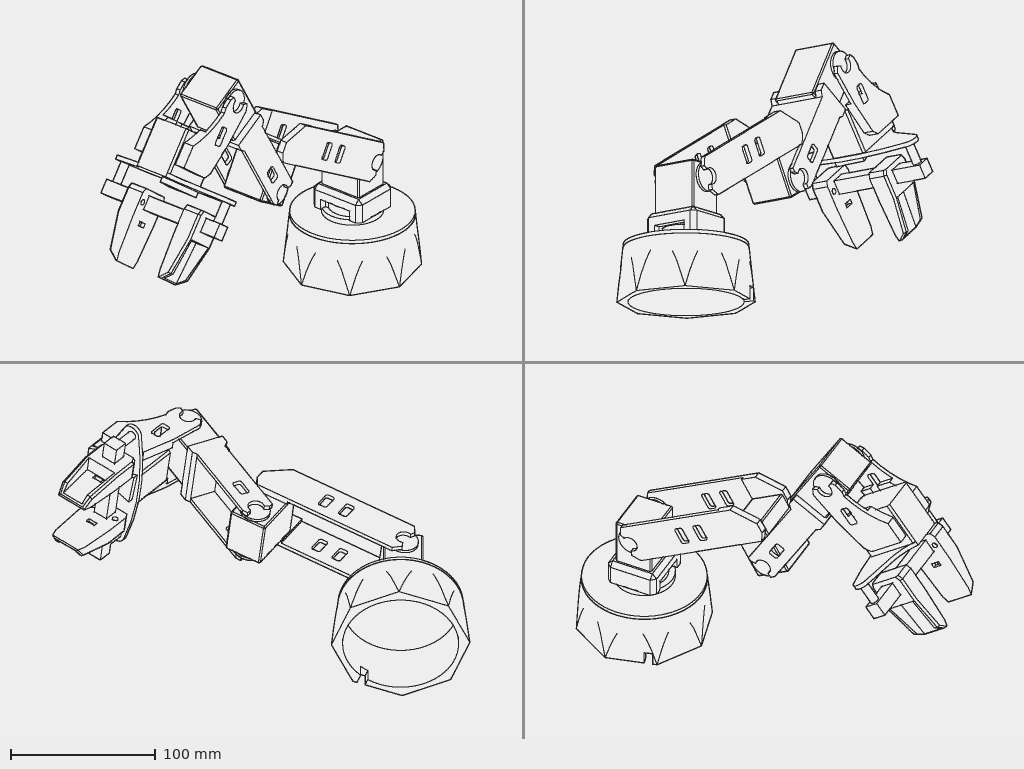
import cadquery as cq
import math


ARM_AZIMUTH = -59.8
SHOULDER_PIVOT = (0.0, 86.4)
UPPER_ARM_PITCH = 30.0
FOREARM_PITCH = 60.0
HAND_PITCH = -52.4
ELBOW_ALONG, ELBOW_DROP = 98.9, -34.5
WRIST_ALONG, WRIST_RISE = 100.2, 2.9

BASE_FLATS = 88.5
LID_DIAMETER = 87.0
LID_BOTTOM, LID_TOP = 38.5, 41.0
CONE_TOP_RADIUS = 43.7
CAVITY_DIAMETER = 80.0
CABLE_SLOT_WIDTH, CABLE_SLOT_HEIGHT = 6.0, 9.4
CABLE_SLOT_OFFSET = 12.2
CABLE_SLOT_ANGLE = 225
NECK_DIAMETER = 43.0
SPIGOT_DIAMETER, SPIGOT_TOP = 33.8, 51.2

MOTOR_LENGTH = 27.5
MOTOR_WIDTH = 33.8
MOTOR_END = 10.5
EDGE_CHAMFER = 1.0
JOINT_DISC_DIAMETER = 20.5
PLATE_INNER, PLATE_OUTER = 19.0, 22.0
NOTCH_RADIUS = 5.5
NOTCH_EDGE = -2.0
TIP_X, TIP_Z = -3.6, 8.8
SLOT_CORNER = 1.5

COLLAR_LENGTH, COLLAR_WIDTH = 37.5, 43.2
COLLAR_BOTTOM, COLLAR_TOP = 45.3, 62.5
COLLAR_CHAMFER = 3.5
WINDOW_WIDTH, WINDOW_TOP, WINDOW_DEPTH = 26.0, 52.8, 5.2

UPPER_HALF_HEIGHT = 14.3
UPPER_END = 113.5
ELBOW_MOTOR_TOP = -1.8
UPPER_SLOT_CENTRES = (46.3, 62.5)
UPPER_SLOT_LENGTH, UPPER_SLOT_HEIGHT = 6.5, 12.5

FOREARM_BOTTOM, FOREARM_TOP = -10.7, 11.7
WALL = 3.0
BACK_WALL_START = 23.5
RIM_START, RIM_END = 63.2, 72.8
RIM_BOTTOM, RIM_TOP = -12.7, 15.0
FOREARM_SLOT_CENTRE = 21.0
FOREARM_SLOT_LENGTH, FOREARM_SLOT_HEIGHT = 12.7, 6.8

HAND_PLATE_END = 55.5
HAND_PLATE_TOP = 31.7
HAND_PAD_START = 26.0
GRIP_MOTOR_START = 29.7
GRIP_MOTOR_BOTTOM, GRIP_MOTOR_TOP = -9.0, 34.5
GRIP_MOTOR_HALF_WIDTH = 14.3
GRIP_MOTOR_CHAMFER = 1.5
HAND_SLOT_X, HAND_SLOT_Z = 24.7, 4.7
HAND_SLOT_LENGTH, HAND_SLOT_HEIGHT = 13.5, 6.8

PALM_REAR, PALM_FRONT = 62.7, 65.8
HORN_FRONT = 69.7

ROD_DIAMETER = 6.2
ROD_SPREAD = 45.3
BAR_START, BAR_END = 81.0, 91.3
BAR_CENTRE_Z = 1.3
BAR_HEIGHT = 10.7
BAR_HALF_LENGTH = 50.7

FINGER_INNER_FACES = {-1: -12.5, 1: 24.5}
FINGER_THICKNESS = 14.0
FINGER_HALF_HEIGHT = 14.3
FINGER_TIP_HALF_HEIGHT = 11.2
FINGER_TAPER_START = 98.9
FINGER_TIP = 131.0
FINGER_WEB = 3.0
FINGER_FLANGE = 3.0
FINGER_CHAMFER = 1.5
FINGER_SECTIONS = (
    (77.3, 12.5, FINGER_THICKNESS),
    (BAR_START, FINGER_HALF_HEIGHT, FINGER_THICKNESS),
    (FINGER_TAPER_START, FINGER_HALF_HEIGHT, FINGER_THICKNESS),
    (125.7, 12.7, 8.8),
    (FINGER_TIP, FINGER_TIP_HALF_HEIGHT, 1.8),
)
FINGER_HOLE_DIAMETER = 4.0
FINGER_HOLE_X, FINGER_HOLE_SPREAD = 87.0, 9.5
FINGER_SLOT_X, FINGER_SLOT_LENGTH, FINGER_SLOT_HEIGHT = 101.2, 3.0, 6.8


def block(x_range, y_range, z_range):
    """Box between two limits on each axis."""
    sizes = [high - low for low, high in (x_range, y_range, z_range)]
    corner = (x_range[0], y_range[0], z_range[0])
    return cq.Workplane("XY").box(*sizes, centered=False).translate(corner)


def slab(outline, half_width):
    """Extrude an outline in the XZ plane equally to both sides."""
    return outline.extrude(half_width, both=True)


def rounded_slots(centres, length, height):
    """Slots that run across the whole arm, with rounded corners."""
    slots = cq.Workplane("XZ").pushPoints(centres).rect(length, height).extrude(2 * PLATE_OUTER, both=True)
    return slots.edges("|Y").fillet(SLOT_CORNER)


def joint_end(outline):
    """Continue an outline from its upper to its lower tip around the joint's round notch."""
    return (
        outline.lineTo(TIP_X, TIP_Z)
        .lineTo(NOTCH_EDGE, NOTCH_RADIUS)
        .threePointArc((NOTCH_RADIUS, 0), (NOTCH_EDGE, -NOTCH_RADIUS))
        .lineTo(TIP_X, -TIP_Z)
        .close()
    )


def motor_box(x_range, z_range):
    """Chamfered motor case."""
    half = MOTOR_WIDTH / 2
    return block(x_range, (-half, half), z_range).edges().chamfer(EDGE_CHAMFER)


def joint_discs(x, z):
    """Output discs on both sides of a motor, up to the inside of the next link's plates."""
    discs = cq.Workplane("XZ").center(x, z).circle(JOINT_DISC_DIAMETER / 2)
    discs = discs.extrude(PLATE_INNER, both=True)
    reach = 2 * JOINT_DISC_DIAMETER
    motor_gap = block((x - reach, x + reach), (-MOTOR_WIDTH / 2, MOTOR_WIDTH / 2), (z - reach, z + reach))
    return discs.cut(motor_gap)


def place(part, pitch, pivot):
    """Tilt a part about its joint, move the joint to (reach, height) and turn it to the azimuth."""
    tilted = part.rotate((0, 0, 0), (0, 1, 0), -pitch)
    moved = tilted.translate((pivot[0], 0, pivot[1]))
    return moved.rotate((0, 0, 0), (0, 0, 1), ARM_AZIMUTH)


def next_pivot(pivot, pitch, along, across):
    """Reach and height of a point given in the frame of a tilted part."""
    c, s = math.cos(math.radians(pitch)), math.sin(math.radians(pitch))
    return (pivot[0] + along * c - across * s, pivot[1] + along * s + across * c)


def make_base():
    """Hollow octagonal base whose corners are turned off to a cone."""
    corner_radius = BASE_FLATS / 2 / math.cos(math.pi / 8)
    octagon = (
        cq.Workplane("XY")
        .polygon(8, 2 * corner_radius)
        .extrude(LID_BOTTOM)
        .rotate((0, 0, 0), (0, 0, 1), 180 / 8)
    )
    cone = (
        cq.Workplane("XY")
        .circle(corner_radius)
        .workplane(offset=LID_BOTTOM)
        .circle(CONE_TOP_RADIUS)
        .loft()
    )
    cavity = cq.Workplane("XY").circle(CAVITY_DIAMETER / 2).extrude(LID_BOTTOM)
    half_slot = CABLE_SLOT_WIDTH / 2
    slot = block(
        (0, BASE_FLATS),
        (CABLE_SLOT_OFFSET - half_slot, CABLE_SLOT_OFFSET + half_slot),
        (0, CABLE_SLOT_HEIGHT),
    ).rotate((0, 0, 0), (0, 0, 1), CABLE_SLOT_ANGLE)
    return octagon.intersect(cone).cut(cavity).cut(slot)


def make_lid():
    """Round lid with the neck and spigot on which the turret turns."""
    lid_plane = cq.Workplane("XY").workplane(offset=LID_BOTTOM)
    disc = lid_plane.circle(LID_DIAMETER / 2).extrude(LID_TOP - LID_BOTTOM)
    neck = disc.faces(">Z").workplane().circle(NECK_DIAMETER / 2).extrude(COLLAR_BOTTOM - LID_TOP)
    return neck.faces(">Z").workplane().circle(SPIGOT_DIAMETER / 2).extrude(SPIGOT_TOP - COLLAR_BOTTOM)


def make_turret():
    """Shoulder motor on a chamfered collar that is bored for the spigot."""
    collar = (
        cq.Workplane("XY")
        .workplane(offset=COLLAR_BOTTOM)
        .rect(COLLAR_LENGTH, COLLAR_WIDTH)
        .extrude(COLLAR_TOP - COLLAR_BOTTOM)
        .edges("|Z or >Z")
        .chamfer(COLLAR_CHAMFER)
    )
    half = MOTOR_LENGTH / 2
    motor_top = SHOULDER_PIVOT[1] + MOTOR_END
    motor = motor_box((-half, half), (SPIGOT_TOP + WALL, motor_top))
    turret = collar.union(motor).union(joint_discs(*SHOULDER_PIVOT))
    bore = cq.Workplane("XY").circle(SPIGOT_DIAMETER / 2).extrude(SPIGOT_TOP)
    turret = turret.cut(bore)
    for side in (-1, 1):
        window = cq.Workplane("XY").box(2 * WINDOW_DEPTH, WINDOW_WIDTH, 2 * (WINDOW_TOP - COLLAR_BOTTOM))
        turret = turret.cut(window.translate((side * COLLAR_LENGTH / 2, 0, COLLAR_BOTTOM)))
    return turret.rotate((0, 0, 0), (0, 0, 1), ARM_AZIMUTH)


def make_upper_arm():
    """Two slotted side plates carrying the elbow motor below their far end."""
    outline = joint_end(
        cq.Workplane("XZ")
        .moveTo(1.3, -UPPER_HALF_HEIGHT)
        .lineTo(UPPER_END - 4.2, -UPPER_HALF_HEIGHT)
        .lineTo(UPPER_END, -7.8)
        .lineTo(UPPER_END, 0)
        .lineTo(UPPER_END - 15.9, UPPER_HALF_HEIGHT)
        .lineTo(0, UPPER_HALF_HEIGHT)
    )
    solid_arm = slab(outline, PLATE_OUTER)
    motor_start = ELBOW_ALONG - MOTOR_LENGTH / 2
    motor_stop = ELBOW_ALONG + MOTOR_LENGTH / 2
    tall = (-2 * UPPER_HALF_HEIGHT, 2 * UPPER_HALF_HEIGHT)
    plate_gap = block((-UPPER_END, motor_start), (-PLATE_INNER, PLATE_INNER), tall)
    motor_gap = block((-UPPER_END, 2 * UPPER_END), (-MOTOR_WIDTH / 2, MOTOR_WIDTH / 2), tall)
    plates = solid_arm.cut(plate_gap).cut(motor_gap)
    slot_centres = [(x, 0) for x in UPPER_SLOT_CENTRES]
    plates = plates.cut(rounded_slots(slot_centres, UPPER_SLOT_LENGTH, UPPER_SLOT_HEIGHT))
    motor = motor_box((motor_start, motor_stop), (ELBOW_DROP - MOTOR_END, ELBOW_MOTOR_TOP))
    return plates.union(motor).union(joint_discs(ELBOW_ALONG, ELBOW_DROP))


def make_forearm():
    """Channel with a rim, closed at the back, holding the wrist motor in its far end."""
    outline = joint_end(
        cq.Workplane("XZ")
        .moveTo(0, FOREARM_BOTTOM)
        .lineTo(RIM_START, FOREARM_BOTTOM)
        .lineTo(RIM_START, FOREARM_TOP)
        .lineTo(-2.5, FOREARM_TOP)
    )
    channel = slab(outline, PLATE_OUTER)
    inside = (-PLATE_INNER, PLATE_INNER)
    channel = channel.cut(block((-RIM_START, BACK_WALL_START), inside, (-RIM_START, RIM_START)))
    channel = channel.cut(block((0, RIM_START), inside, (-RIM_START, FOREARM_TOP - WALL)))
    slot_centres = [(FOREARM_SLOT_CENTRE, 0)]
    channel = channel.cut(rounded_slots(slot_centres, FOREARM_SLOT_LENGTH, FOREARM_SLOT_HEIGHT))
    rim_outline = (
        cq.Workplane("XZ")
        .moveTo(RIM_START, FOREARM_BOTTOM)
        .lineTo(RIM_START + WALL, RIM_BOTTOM)
        .lineTo(RIM_END, RIM_BOTTOM)
        .lineTo(RIM_END, RIM_TOP)
        .lineTo(RIM_START + WALL, RIM_TOP)
        .lineTo(RIM_START, FOREARM_TOP)
        .close()
    )
    rim = slab(rim_outline, PLATE_OUTER)
    half = MOTOR_LENGTH / 2
    motor = motor_box((RIM_START, WRIST_ALONG + MOTOR_END), (WRIST_RISE - half, WRIST_RISE + half))
    return channel.union(rim).union(motor).union(joint_discs(WRIST_ALONG, WRIST_RISE))


def make_hand():
    """Curved side plates carrying the gripper motor."""
    outline = joint_end(
        cq.Workplane("XZ")
        .moveTo(0.5, -11.7)
        .lineTo(26, -7.8)
        .lineTo(HAND_PLATE_END - 4.2, -1.0)
        .lineTo(HAND_PLATE_END, 3.5)
        .lineTo(HAND_PLATE_END, HAND_PLATE_TOP)
        .lineTo(HAND_PLATE_END - 16.5, HAND_PLATE_TOP)
        .threePointArc((25.0, 19.5), (9.0, 12.0))
        .lineTo(5.5, 12.7)
        .lineTo(-1.0, 11.2)
    )
    tall = (-HAND_PLATE_END, HAND_PLATE_END)
    plate_gap = block((-HAND_PLATE_END, HAND_PAD_START), (-PLATE_INNER, PLATE_INNER), tall)
    motor_sides = (-GRIP_MOTOR_HALF_WIDTH, GRIP_MOTOR_HALF_WIDTH)
    motor_gap = block((-HAND_PLATE_END, PALM_REAR), motor_sides, tall)
    plates = slab(outline, PLATE_OUTER).cut(plate_gap).cut(motor_gap)
    plates = plates.cut(rounded_slots([(HAND_SLOT_X, HAND_SLOT_Z)], HAND_SLOT_LENGTH, HAND_SLOT_HEIGHT))
    motor = block((GRIP_MOTOR_START, PALM_REAR), motor_sides, (GRIP_MOTOR_BOTTOM, GRIP_MOTOR_TOP))
    motor = motor.edges("|X").chamfer(GRIP_MOTOR_CHAMFER)
    return plates.union(motor).union(make_palm()).clean()


def make_palm():
    """Winged plate on the front of the gripper motor, with a horn standing on it."""
    palm_top_half = GRIP_MOTOR_HALF_WIDTH - GRIP_MOTOR_CHAMFER
    palm = (
        cq.Workplane("YZ", origin=(PALM_REAR, 0, 0))
        .moveTo(-palm_top_half, GRIP_MOTOR_TOP)
        .threePointArc((-19.0, 23.5), (-28.5, 17.2))
        .lineTo(-47.5, 8.5)
        .threePointArc((-52, 2.0), (-47.5, -4.2))
        .threePointArc((0, -10.5), (47.5, -4.2))
        .threePointArc((52, 2.0), (47.5, 8.5))
        .lineTo(28.5, 17.2)
        .threePointArc((19.0, 23.5), (palm_top_half, GRIP_MOTOR_TOP))
        .close()
        .extrude(PALM_FRONT - PALM_REAR)
    )
    horn = (
        cq.Workplane("YZ", origin=(PALM_FRONT, 0, 0))
        .moveTo(-9.0, -6.5)
        .lineTo(-2.5, 14.8)
        .threePointArc((1.0, 18.2), (4.7, 14.8))
        .lineTo(14.3, -7.8)
        .close()
        .extrude(HORN_FRONT - PALM_FRONT)
    )
    return palm.union(horn)


def make_slide_frame():
    """Crossbar on the two rods that hold it off the palm."""
    rods = (
        cq.Workplane("YZ", origin=(PALM_FRONT, 0, 0))
        .pushPoints([(-ROD_SPREAD, BAR_CENTRE_Z), (ROD_SPREAD, BAR_CENTRE_Z)])
        .circle(ROD_DIAMETER / 2)
        .extrude(BAR_START - PALM_FRONT)
    )
    return rods.union(make_crossbar())


def make_crossbar():
    """Bar along which the fingers slide."""
    bar = cq.Workplane("XY").box(BAR_END - BAR_START, 2 * BAR_HALF_LENGTH, BAR_HEIGHT)
    return bar.translate(((BAR_START + BAR_END) / 2, 0, BAR_CENTRE_Z))


def finger_section(x, half_height, thickness):
    """Cross-section of a finger, flat on the inside and chamfered on the outside."""
    shoulder = half_height - FINGER_CHAMFER
    edge = thickness - FINGER_CHAMFER
    corners = [
        (0, -half_height),
        (edge, -half_height),
        (thickness, -shoulder),
        (thickness, shoulder),
        (edge, half_height),
        (0, half_height),
    ]
    return cq.Workplane("YZ", origin=(x, 0, 0)).polyline(corners).close().val()


def make_finger(side):
    """Tapered finger with an outer pocket open at the tip; side is -1 or 1 across the arm."""
    sections = [finger_section(*section) for section in FINGER_SECTIONS]
    finger = cq.Workplane(cq.Solid.makeLoft(sections, True))
    pocket = (
        cq.Workplane("XZ", origin=(0, FINGER_WEB, 0))
        .moveTo(FINGER_TAPER_START, FINGER_FLANGE - FINGER_HALF_HEIGHT)
        .lineTo(FINGER_TIP, FINGER_FLANGE - FINGER_TIP_HALF_HEIGHT)
        .lineTo(FINGER_TIP, FINGER_TIP_HALF_HEIGHT - FINGER_FLANGE)
        .lineTo(FINGER_TAPER_START, FINGER_HALF_HEIGHT - FINGER_FLANGE)
        .close()
        .extrude(-FINGER_THICKNESS)
    )
    holes = (
        cq.Workplane("XZ")
        .pushPoints([(FINGER_HOLE_X, -FINGER_HOLE_SPREAD), (FINGER_HOLE_X, FINGER_HOLE_SPREAD)])
        .circle(FINGER_HOLE_DIAMETER / 2)
    )
    slot = cq.Workplane("XZ").center(FINGER_SLOT_X, 0).rect(FINGER_SLOT_LENGTH, FINGER_SLOT_HEIGHT)
    finger = finger.cut(pocket).cut(slab(holes, FINGER_WEB)).cut(slab(slot, FINGER_THICKNESS))
    if side < 0:
        finger = finger.mirror("XZ")
    return finger.translate((0, FINGER_INNER_FACES[side], BAR_CENTRE_Z)).cut(make_crossbar())


elbow_pivot = next_pivot(SHOULDER_PIVOT, UPPER_ARM_PITCH, ELBOW_ALONG, ELBOW_DROP)
wrist_pivot = next_pivot(elbow_pivot, FOREARM_PITCH, WRIST_ALONG, WRIST_RISE)

base = make_base()
lid = make_lid()
turret = make_turret()
upper_arm = place(make_upper_arm(), UPPER_ARM_PITCH, SHOULDER_PIVOT)
forearm = place(make_forearm(), FOREARM_PITCH, elbow_pivot)
hand = place(make_hand(), HAND_PITCH, wrist_pivot)
slide_frame = place(make_slide_frame(), HAND_PITCH, wrist_pivot)
fingers = [place(make_finger(side), HAND_PITCH, wrist_pivot) for side in FINGER_INNER_FACES]

bodies = [base, lid, turret, upper_arm, forearm, hand, slide_frame, *fingers]
result = cq.Compound.makeCompound([body.val() for body in bodies])